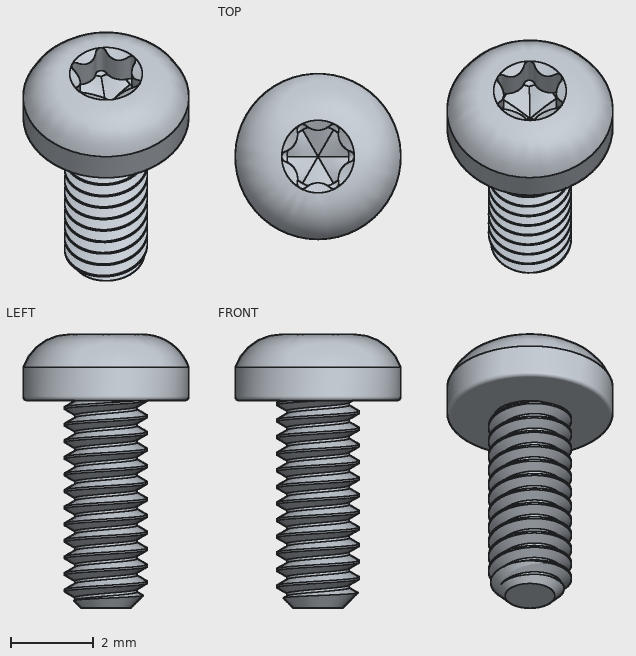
import math

import cadquery as cq


head_radius = 2.0
head_height = 1.6
head_rim_height = 0.8
head_edge_fillet = 0.1

shank_length = 5.0
thread_radius = 1.0
pitch = 0.4
thread_half_angle = math.radians(30)
thread_depth = 17 / 24 * pitch * math.cos(thread_half_angle)
crest_width = pitch / 8
tip_chamfer = 0.4
thread_start_height = 0.52
core_overrun = 4 * pitch
thread_root_overlap = 0.03

lobe_count = 6
lobe_tip_radius = 0.875
flute_tip_radius = 0.635
lobe_arc_radius = 0.13
recess_depth = 0.8
countersink_slope = math.radians(30)
floor_slope = math.radians(30)

core_radius = thread_radius - thread_depth
half_lobe_angle = math.pi / lobe_count
lobe_centre_radius = lobe_tip_radius - lobe_arc_radius
flute_arc_radius = (
    flute_tip_radius**2
    + lobe_centre_radius**2
    - 2 * flute_tip_radius * lobe_centre_radius * math.cos(half_lobe_angle)
    - lobe_arc_radius**2
) / (2 * (lobe_arc_radius - flute_tip_radius + lobe_centre_radius * math.cos(half_lobe_angle)))
flute_centre_radius = flute_tip_radius + flute_arc_radius
recess_floor = head_height - recess_depth


def polar(radius, angle):
    return (radius * math.cos(angle), radius * math.sin(angle))


def make_head():
    """Cylindrical rim under a dome that runs level into the mouth of the recess."""
    dome_run = head_radius - lobe_tip_radius
    dome_rise = head_height - head_rim_height
    dome_radius = (dome_run**2 + dome_rise**2) / (2 * dome_rise)
    half_sweep = math.asin(dome_run / dome_radius) / 2
    dome_middle = (
        -lobe_tip_radius - dome_radius * math.sin(half_sweep),
        head_height - dome_radius * (1 - math.cos(half_sweep)),
    )
    profile = (
        cq.Workplane("YZ")
        .lineTo(-head_radius, 0)
        .lineTo(-head_radius, head_rim_height)
        .threePointArc(dome_middle, (-lobe_tip_radius, head_height))
        .lineTo(0, head_height)
        .close()
    )
    head = profile.revolve(360, (0, 0, 0), (0, 1, 0))
    return head.faces("<Z").edges().fillet(head_edge_fillet)


def make_tip_cutter(bottom):
    """Solid around and below the screw tip that leaves a 45 degree chamfered end on the shank."""
    tip_radius = thread_radius - tip_chamfer
    reach = tip_chamfer + pitch
    profile = (
        cq.Workplane("YZ")
        .moveTo(0, -shank_length)
        .lineTo(-tip_radius, -shank_length)
        .lineTo(-tip_radius - reach, reach - shank_length)
        .lineTo(-tip_radius - reach, bottom)
        .lineTo(0, bottom)
        .close()
    )
    return profile.revolve(360, (0, 0, 0), (0, 1, 0))


def make_thread_ridge():
    """Right-handed trapezoidal ridge that runs past the tip and up into the head."""
    turns = math.ceil((thread_start_height + shank_length) / pitch) + 1
    height = turns * pitch
    bottom = thread_start_height - height
    base_radius = core_radius - thread_root_overlap
    half_crest = crest_width / 2
    half_base = half_crest + (thread_radius - base_radius) * math.tan(thread_half_angle)
    path = cq.Wire.makeHelix(pitch, height, base_radius).moved(cq.Location(cq.Vector(0, 0, bottom)))
    section = (
        cq.Workplane("XZ")
        .moveTo(base_radius, bottom - half_base)
        .lineTo(thread_radius, bottom - half_crest)
        .lineTo(thread_radius, bottom + half_crest)
        .lineTo(base_radius, bottom + half_base)
        .close()
    )
    return section.sweep(cq.Workplane(path), isFrenet=True)


def make_shank():
    """Threaded core, built past both ends of the shank and then cut to the chamfered tip."""
    core_top = recess_floor
    core_bottom = -shank_length - core_overrun
    core = cq.Workplane("XY", origin=(0, 0, core_bottom)).circle(core_radius).extrude(core_top - core_bottom)
    threaded = core.union(make_thread_ridge())
    return threaded.cut(make_tip_cutter(core_bottom - pitch))


def lobe_outline(height):
    """Closed six-lobe outline of tangent arcs at the given height, with a lobe on +X."""
    centre = cq.Vector(lobe_centre_radius, 0)
    flute_centre = cq.Vector(*polar(flute_centre_radius, half_lobe_angle))
    tangent_point = centre + (flute_centre - centre).normalized() * lobe_arc_radius
    tangent_radius = tangent_point.Length
    tangent_angle = math.atan2(tangent_point.y, tangent_point.x)
    outline = cq.Workplane("XY", origin=(0, 0, height)).moveTo(*polar(tangent_radius, -tangent_angle))
    for lobe in range(lobe_count):
        angle = 2 * half_lobe_angle * lobe
        lobe_end = polar(tangent_radius, angle + tangent_angle)
        next_lobe_start = polar(tangent_radius, angle + 2 * half_lobe_angle - tangent_angle)
        outline = outline.threePointArc(polar(lobe_tip_radius, angle), lobe_end)
        outline = outline.threePointArc(polar(flute_tip_radius, angle + half_lobe_angle), next_lobe_start)
    return outline.close()


def make_recess_floor():
    """Six-sided hollow below the lobes: its walls slope in from the outline and meet on the axis."""
    depth = flute_tip_radius * math.tan(floor_slope)
    lobe_cone_depth = lobe_arc_radius * math.tan(floor_slope)
    hollow = cq.Workplane("XY", origin=(0, 0, recess_floor - depth)).circle(lobe_centre_radius).extrude(depth)
    for lobe in range(lobe_count):
        tip_position = polar(lobe_centre_radius, 2 * half_lobe_angle * lobe)
        lobe_cone = cq.Solid.makeCone(
            lobe_arc_radius, 0, lobe_cone_depth, pnt=(*tip_position, recess_floor), dir=(0, 0, -1)
        )
        hollow = hollow.union(cq.Workplane(lobe_cone))
    for flute in range(lobe_count):
        position = polar(flute_centre_radius, 2 * half_lobe_angle * (flute + 0.5))
        flute_cone = cq.Solid.makeCone(
            flute_arc_radius, flute_centre_radius, depth, pnt=(*position, recess_floor), dir=(0, 0, -1)
        )
        hollow = hollow.cut(cq.Workplane(flute_cone))
    return hollow


def make_recess():
    walls = lobe_outline(recess_floor).extrude(recess_depth)
    countersink = cq.Solid.makeCone(
        lobe_tip_radius,
        0,
        lobe_tip_radius * math.tan(countersink_slope),
        pnt=(0, 0, head_height),
        dir=(0, 0, -1),
    )
    return walls.union(cq.Workplane(countersink)).union(make_recess_floor())


result = make_head().union(make_shank()).cut(make_recess())